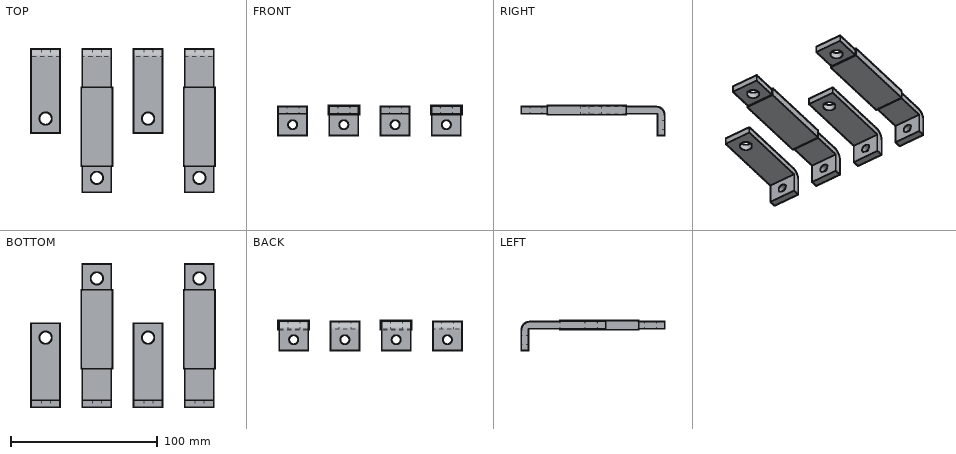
import cadquery as cq

BAR_WIDTH = 20.0
BAR_THICKNESS = 5.0
BEND_RADIUS = 6.0
LEG_HEIGHT = 20.0
SHORT_LENGTH = 57.6
LONG_LENGTH = 98.0

END_HOLE_DIAMETER = 8.3
END_HOLE_INSET = 9.9
LEG_HOLE_DIAMETER = 6.0
LEG_HOLE_HEIGHT = 7.5

BAND_THICKNESS = 0.7
BAND_WIDTH = BAR_WIDTH + 2 * BAND_THICKNESS
BAND_LENGTH = 53.8
BAND_END_INSET = 17.8

OVERALL_WIDTH = 125.7
PAIR_COUNT = 2
BAR_PITCH = (OVERALL_WIDTH - BAR_WIDTH / 2 - BAND_WIDTH / 2) / (2 * PAIR_COUNT - 1)


def make_bent_bar(length):
    """L-shaped bar: back face of the leg at Y = 0, foot at Z = 0, centred on X = 0."""
    profile = (
        cq.Workplane("YZ")
        .polyline([
            (0, 0),
            (0, LEG_HEIGHT),
            (-length, LEG_HEIGHT),
            (-length, LEG_HEIGHT - BAR_THICKNESS),
            (-BAR_THICKNESS, LEG_HEIGHT - BAR_THICKNESS),
            (-BAR_THICKNESS, 0),
        ])
        .close()
    )
    bar = profile.extrude(BAR_WIDTH / 2, both=True)
    bar = bar.edges("|X and >Y and >Z").fillet(BEND_RADIUS)

    end_hole = (
        cq.Workplane("XY")
        .center(0, END_HOLE_INSET - length)
        .circle(END_HOLE_DIAMETER / 2)
        .extrude(LEG_HEIGHT)
    )
    leg_hole = (
        cq.Workplane("XZ")
        .center(0, LEG_HOLE_HEIGHT)
        .circle(LEG_HOLE_DIAMETER / 2)
        .extrude(BAR_THICKNESS)
    )
    return bar.cut(end_hole).cut(leg_hole)


def make_short_bar():
    return make_bent_bar(SHORT_LENGTH)


def make_banded_bar():
    """Long bent bar, thickened on all four sides along its middle."""
    band = cq.Workplane("XY").box(
        BAND_WIDTH, BAND_LENGTH, BAR_THICKNESS + 2 * BAND_THICKNESS
    )
    band_y = -LONG_LENGTH + BAND_END_INSET + BAND_LENGTH / 2
    band_z = LEG_HEIGHT - BAR_THICKNESS / 2
    return make_bent_bar(LONG_LENGTH).union(band.translate((0, band_y, band_z)))


short_bars = []
banded_bars = []
for pair in range(PAIR_COUNT):
    short_x = 2 * pair * BAR_PITCH
    short_bars.append(make_short_bar().translate((short_x, 0, 0)).val())
    banded_bars.append(make_banded_bar().translate((short_x + BAR_PITCH, 0, 0)).val())

result = cq.Compound.makeCompound([*short_bars, *banded_bars])